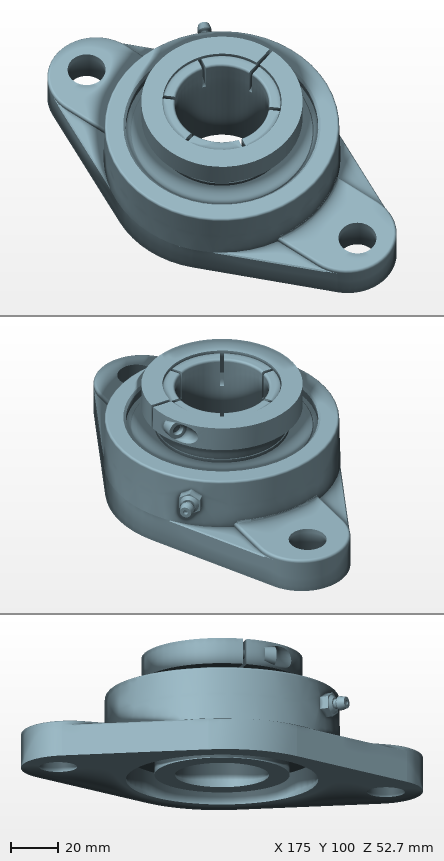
import cadquery as cq
import math

TIP_X = 87.5
EAR_RADIUS = 20.6
EAR_X = TIP_X - EAR_RADIUS
HUB_RADIUS = 50.0
WAIST_RADIUS = 45.0
WAIST_Y = HUB_RADIUS - WAIST_RADIUS
WEB_TOP = 13.4
WEB_CHAMFER = 0.5
WEB_CHAMFER_HUB_GAP = 9.0
WEB_CHAMFER_PAD_GAP = 5.0
PAD_TOP = 15.4
PAD_EDGE_ROUND = 1.2
HUB_TOP = 36.0
HUB_TOP_RADIUS = 49.4
HUB_EDGE_ROUND = 1.0
HUB_FOOT_ROUND = 1.0
BOLT_X = 72.0
BOLT_DIAMETER = 16.0
SEAT_DIAMETER = 81.19
SEAT_CHAMFER = 1.0

OUTER_RING_TOP = 31.7
OUTER_RING_WIDTH = 21.0
OUTER_RING_BOTTOM = OUTER_RING_TOP - OUTER_RING_WIDTH
SEAL_RADIUS = 38.6
SEAL_RAISE = 0.4
SEAL_THICKNESS = 2.0
SEAL_FLAT_RADIUS = 36.0
SEAL_DISH = 0.4
SHOULDER_RADIUS = 57.02 / 2
SHOULDER_TOP = 33.2
INNER_RING_BOTTOM = 2.0
INNER_RING_TOP = 51.6
INNER_RING_RADIUS = 28.0
INNER_BORE_RADIUS = 39.69 / 2
INNER_BORE_ROUND = 1.1
CLAMP_NECK_RADIUS = 25.1
CLAMP_NECK_CHAMFER = 0.5
FINGER_SLOTS = 6
FINGER_SLOT_WIDTH = 1.6
FINGER_SLOT_BOTTOM = 38.2

COLLAR_TOP = 52.7
COLLAR_HEIGHT = 11.0
COLLAR_BOTTOM = COLLAR_TOP - COLLAR_HEIGHT
COLLAR_RADIUS = 68.0 / 2
COLLAR_SLIT = 1.6
SCREW_Y = 29.5
SCREW_Z = COLLAR_TOP - COLLAR_HEIGHT / 2
SCREW_SEAT_X = -9.0
SCREW_HEAD_LENGTH = 5.0
SCREW_HEAD_DIAMETER = 8.5
SCREW_POCKET_DIAMETER = 9.0
SCREW_SHANK_DIAMETER = 4.14
SCREW_SHANK_LENGTH = 16.0
SCREW_SOCKET_DIAMETER = 5.0
SCREW_SOCKET_DEPTH = 2.5

NIPPLE_ANGLE = 135.0
NIPPLE_Z = 26.0
NIPPLE_THREAD_RADIUS = 6.0 / 2
NIPPLE_INNER_END = 44.0
NIPPLE_HEX_START = 48.5
NIPPLE_HEX_END = 53.2
NIPPLE_HEX_FLATS = 9.0
NIPPLE_HEX_TURN = 30.0
NIPPLE_CONE_BASE_RADIUS = 4.1
NIPPLE_CONE_TIP_RADIUS = 5.8 / 2
NIPPLE_CONE_END = 54.4
NIPPLE_NECK_RADIUS = 4.13 / 2
NIPPLE_NECK_END = 55.6
NIPPLE_HEAD_RADIUS = 5.99 / 2
NIPPLE_HEAD_START = 56.4
NIPPLE_HEAD_END = 57.4
NIPPLE_TIP = 59.8
NIPPLE_TIP_RADIUS = 2.45
NIPPLE_HOLE_DIAMETER = 2.1
NIPPLE_HOLE_DEPTH = 3.0


def disc(radius, bottom, top):
    return cq.Workplane("XY").workplane(offset=bottom).circle(radius).extrude(top - bottom)


def revolved(points):
    """Turn a (radius, height) outline about the Z axis."""
    return cq.Workplane("XZ").polyline(points).close().revolve(360, (0, 0, 0), (0, 1, 0))


def finger_slots():
    """Radial cuts through the clamp neck; their floors rise from the bore to the neck's root."""
    inside = INNER_BORE_RADIUS - INNER_BORE_ROUND
    slope = (COLLAR_BOTTOM - FINGER_SLOT_BOTTOM) / (CLAMP_NECK_RADIUS - INNER_BORE_RADIUS)
    inside_floor = FINGER_SLOT_BOTTOM - slope * INNER_BORE_ROUND
    slot = (
        cq.Workplane("XZ")
        .moveTo(inside, inside_floor)
        .lineTo(CLAMP_NECK_RADIUS, COLLAR_BOTTOM)
        .lineTo(CLAMP_NECK_RADIUS, COLLAR_TOP)
        .lineTo(inside, COLLAR_TOP)
        .close()
        .extrude(FINGER_SLOT_WIDTH / 2, both=True)
    )
    pitch = 360 / FINGER_SLOTS
    return [slot.rotate((0, 0, 0), (0, 0, 1), 90 + n * pitch) for n in range(FINGER_SLOTS)]


def along_x(radius, start, length):
    """Cylinder on the clamp screw's axis."""
    return (
        cq.Workplane("YZ", origin=(start, SCREW_Y, SCREW_Z))
        .circle(radius)
        .extrude(length)
    )


def make_screw():
    head_x = SCREW_SEAT_X - SCREW_HEAD_LENGTH
    head = along_x(SCREW_HEAD_DIAMETER / 2, head_x, SCREW_HEAD_LENGTH)
    shank = along_x(SCREW_SHANK_DIAMETER / 2, SCREW_SEAT_X, SCREW_SHANK_LENGTH)
    socket = along_x(SCREW_SOCKET_DIAMETER / 2, head_x, SCREW_SOCKET_DEPTH)
    return head.union(shank).cut(socket)


def make_collar():
    collar = disc(COLLAR_RADIUS, COLLAR_BOTTOM, COLLAR_TOP)
    collar = collar.cut(disc(CLAMP_NECK_RADIUS, COLLAR_BOTTOM, COLLAR_TOP))
    slit = (
        cq.Workplane("XY")
        .workplane(offset=COLLAR_BOTTOM)
        .center(0, COLLAR_RADIUS / 2)
        .rect(COLLAR_SLIT, COLLAR_RADIUS)
        .extrude(COLLAR_HEIGHT)
    )
    head_pocket = along_x(SCREW_POCKET_DIAMETER / 2, SCREW_SEAT_X, -COLLAR_RADIUS)
    shank_hole = along_x(SCREW_SHANK_DIAMETER / 2, SCREW_SEAT_X, SCREW_SHANK_LENGTH)
    return collar.cut(slit).cut(head_pocket).cut(shank_hole)


def make_inner_ring():
    ring = revolved([
        (INNER_BORE_RADIUS, INNER_RING_BOTTOM),
        (SHOULDER_RADIUS, INNER_RING_BOTTOM),
        (SHOULDER_RADIUS, SHOULDER_TOP),
        (INNER_RING_RADIUS, SHOULDER_TOP),
        (INNER_RING_RADIUS, COLLAR_BOTTOM),
        (CLAMP_NECK_RADIUS, COLLAR_BOTTOM),
        (CLAMP_NECK_RADIUS, INNER_RING_TOP - CLAMP_NECK_CHAMFER),
        (CLAMP_NECK_RADIUS - CLAMP_NECK_CHAMFER, INNER_RING_TOP),
        (INNER_BORE_RADIUS, INNER_RING_TOP),
    ])
    mouth = cq.selectors.RadiusNthSelector(0)
    ring = ring.faces(">Z").edges(mouth).fillet(INNER_BORE_ROUND)
    for slot in finger_slots():
        ring = ring.cut(slot)
    return ring


def make_seal():
    rim_top = OUTER_RING_TOP + SEAL_RAISE
    bottom = OUTER_RING_TOP - SEAL_THICKNESS
    return revolved([
        (SHOULDER_RADIUS, bottom),
        (SEAL_RADIUS, bottom),
        (SEAL_RADIUS, OUTER_RING_TOP),
        (SEAL_RADIUS - SEAL_RAISE, rim_top),
        (SEAL_FLAT_RADIUS, rim_top),
        (SHOULDER_RADIUS, rim_top - SEAL_DISH),
    ])


def make_outer_ring():
    ring = disc(SEAT_DIAMETER / 2, OUTER_RING_BOTTOM, OUTER_RING_TOP)
    ring = ring.cut(disc(SHOULDER_RADIUS, OUTER_RING_BOTTOM, OUTER_RING_TOP))
    return ring.cut(disc(SEAL_RADIUS, OUTER_RING_TOP - SEAL_THICKNESS, OUTER_RING_TOP))


def make_nipple():
    body = revolved([
        (0, NIPPLE_INNER_END),
        (NIPPLE_THREAD_RADIUS, NIPPLE_INNER_END),
        (NIPPLE_THREAD_RADIUS, NIPPLE_HEX_END),
        (NIPPLE_CONE_BASE_RADIUS, NIPPLE_HEX_END),
        (NIPPLE_CONE_TIP_RADIUS, NIPPLE_CONE_END),
        (NIPPLE_NECK_RADIUS, NIPPLE_CONE_END),
        (NIPPLE_NECK_RADIUS, NIPPLE_NECK_END),
        (NIPPLE_HEAD_RADIUS, NIPPLE_HEAD_START),
        (NIPPLE_HEAD_RADIUS, NIPPLE_HEAD_END),
        (NIPPLE_TIP_RADIUS, NIPPLE_TIP),
        (0, NIPPLE_TIP),
    ])
    hexagon = (
        cq.Workplane("XY")
        .workplane(offset=NIPPLE_HEX_START)
        .polygon(6, NIPPLE_HEX_FLATS, circumscribed=True)
        .extrude(NIPPLE_HEX_END - NIPPLE_HEX_START)
        .rotate((0, 0, 0), (0, 0, 1), NIPPLE_HEX_TURN)
    )
    hole = disc(NIPPLE_HOLE_DIAMETER / 2, NIPPLE_TIP - NIPPLE_HOLE_DEPTH, NIPPLE_TIP)
    nipple = body.union(hexagon).cut(hole)
    nipple = nipple.rotate((0, 0, 0), (0, 1, 0), 90)
    return nipple.rotate((0, 0, 0), (0, 0, 1), NIPPLE_ANGLE).translate((0, 0, NIPPLE_Z))


def make_web_plate():
    """Flange outline: two waist arcs and two ear arcs joined by their common tangents."""
    centre_distance = math.hypot(EAR_X, WAIST_Y)
    tangent_angle = math.acos((WAIST_RADIUS - EAR_RADIUS) / centre_distance) - math.atan2(WAIST_Y, EAR_X)
    normal_x = math.cos(tangent_angle)
    normal_y = math.sin(tangent_angle)
    waist_x = WAIST_RADIUS * normal_x
    waist_y = WAIST_Y + WAIST_RADIUS * normal_y
    ear_x = EAR_X + EAR_RADIUS * normal_x
    ear_y = EAR_RADIUS * normal_y
    plate = (
        cq.Workplane("XY")
        .moveTo(-waist_x, waist_y)
        .threePointArc((0, HUB_RADIUS), (waist_x, waist_y))
        .lineTo(ear_x, ear_y)
        .threePointArc((TIP_X, 0), (ear_x, -ear_y))
        .lineTo(waist_x, -waist_y)
        .threePointArc((0, -HUB_RADIUS), (-waist_x, -waist_y))
        .lineTo(-ear_x, -ear_y)
        .threePointArc((-TIP_X, 0), (-ear_x, ear_y))
        .close()
        .extrude(WEB_TOP)
    )

    side_length = math.hypot(ear_x - waist_x, ear_y - waist_y)
    chamfer = (
        cq.Workplane("XZ")
        .moveTo(WEB_CHAMFER, 0)
        .lineTo(-WEB_CHAMFER, 0)
        .lineTo(0, -WEB_CHAMFER)
        .lineTo(WEB_CHAMFER, -WEB_CHAMFER)
        .close()
        .extrude(side_length - WEB_CHAMFER_HUB_GAP - WEB_CHAMFER_PAD_GAP)
        .translate((0, -WEB_CHAMFER_HUB_GAP, 0))
        .rotate((0, 0, 0), (0, 0, 1), math.degrees(tangent_angle))
        .translate((waist_x, waist_y, WEB_TOP))
    )
    chamfers_right = chamfer.union(chamfer.mirror("XZ"))
    return plate.cut(chamfers_right).cut(chamfers_right.mirror("YZ"))


def make_housing():
    pads = (
        cq.Workplane("XY")
        .workplane(offset=WEB_TOP)
        .slot2D(2 * TIP_X, 2 * EAR_RADIUS)
        .extrude(PAD_TOP - WEB_TOP)
    )
    pads = pads.faces(">Z").edges().fillet(PAD_EDGE_ROUND)

    hub = revolved([
        (0, WEB_TOP),
        (HUB_RADIUS, WEB_TOP),
        (HUB_TOP_RADIUS, HUB_TOP),
        (0, HUB_TOP),
    ])
    hub = hub.faces(">Z").edges().fillet(HUB_EDGE_ROUND)

    foot_outside = HUB_RADIUS + HUB_FOOT_ROUND
    foot_top = PAD_TOP + HUB_FOOT_ROUND
    mid = HUB_FOOT_ROUND * (1 - math.sqrt(0.5))
    foot = (
        cq.Workplane("XZ")
        .moveTo(HUB_TOP_RADIUS, PAD_TOP)
        .lineTo(foot_outside, PAD_TOP)
        .threePointArc((HUB_RADIUS + mid, PAD_TOP + mid), (HUB_RADIUS, foot_top))
        .lineTo(HUB_TOP_RADIUS, foot_top)
        .close()
        .revolve(360, (0, 0, 0), (0, 1, 0))
    )
    pad_flat = cq.Workplane("XY").box(2 * TIP_X, 2 * (EAR_RADIUS - PAD_EDGE_ROUND), 2 * HUB_TOP)
    foot = foot.intersect(pad_flat)

    body = make_web_plate().union(pads).union(hub).union(foot)
    bolts = cq.Workplane("XY").pushPoints([(-BOLT_X, 0), (BOLT_X, 0)])
    body = body.cut(bolts.circle(BOLT_DIAMETER / 2).extrude(PAD_TOP))
    seat_radius = SEAT_DIAMETER / 2
    seat = revolved([
        (0, 0),
        (seat_radius, 0),
        (seat_radius, HUB_TOP - SEAT_CHAMFER),
        (seat_radius + SEAT_CHAMFER, HUB_TOP),
        (0, HUB_TOP),
    ])
    return body.cut(seat).cut(make_nipple())


housing = make_housing()
outer_ring = make_outer_ring()
seal = make_seal()
inner_ring = make_inner_ring()
collar = make_collar()
screw = make_screw()
nipple = make_nipple()

result = cq.Compound.makeCompound([
    housing.val(),
    outer_ring.val(),
    seal.val(),
    inner_ring.val(),
    collar.val(),
    screw.val(),
    nipple.val(),
])